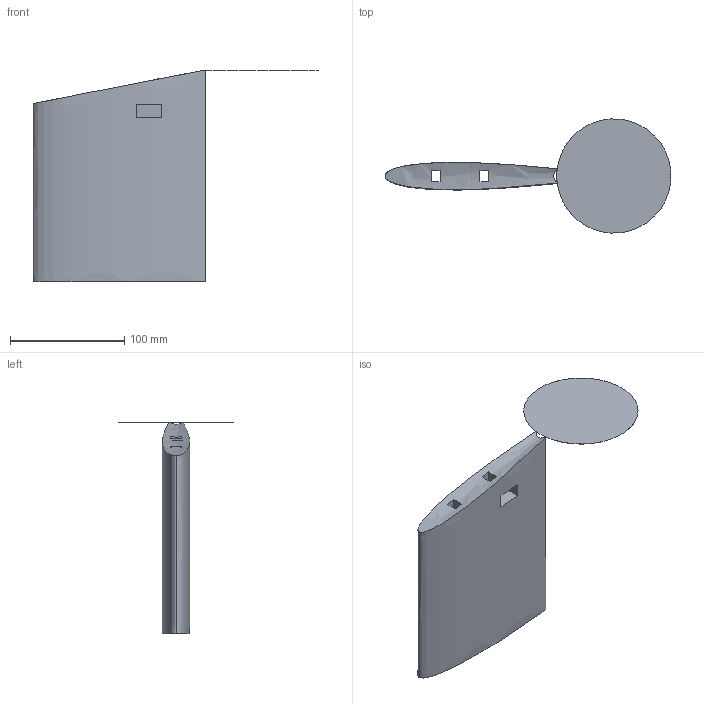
import math

import cadquery as cq

CHORD = 200.0
THICKNESS_RATIO = 0.12
BLADE_LENGTH = 150.6
FOIL_POINTS = 24

NOSE_HEIGHT = 155.9
TOP_HEIGHT = 185.15

TIP_ANGLE = 11.1
TIP_SAG = 1.6
MAX_THICKNESS_X = 0.3 * CHORD
MAX_HALF_THICKNESS = THICKNESS_RATIO * CHORD / 2
TIP_STATIONS = (-1.0, 8.0, 25.0, MAX_THICKNESS_X, 90.0, 120.0, BLADE_LENGTH + 1.0)
CUTTER_MARGIN = 1.0
CUTTER_HEADROOM = 15.0

GROOVE_RADIUS = 6.0
GROOVE_DEPTH = 3.3

DISC_DIAMETER = 100.0
DISC_THICKNESS = 0.1
DISC_CENTRE_X = 200.03

SLOT_LENGTH = 7.7
SLOT_WIDTH = 10.0
SLOT_CENTRES_X = (44.15, 86.75)

WINDOW_X = 90.0
WINDOW_Z = 143.3
WINDOW_LENGTH = 22.0
WINDOW_HEIGHT = 12.0
WINDOW_FLOOR_Y = SLOT_WIDTH / 2


def foil_half_thickness(x):
    s = x / CHORD
    shape = 0.2969 * math.sqrt(s) - 0.1260 * s - 0.3516 * s**2 + 0.2843 * s**3 - 0.1015 * s**4
    return 5 * THICKNESS_RATIO * CHORD * shape


def arc_radius(half_chord, sag):
    return (half_chord**2 + sag**2) / (2 * sag)


def make_blade():
    xs = [BLADE_LENGTH * (i / FOIL_POINTS) ** 2 for i in range(FOIL_POINTS + 1)]
    left_side = [(x, foil_half_thickness(x)) for x in xs]
    right_side = [(x, -y) for x, y in reversed(left_side)]
    return (
        cq.Workplane("XY")
        .spline(left_side)
        .lineTo(*right_side[0])
        .spline(right_side[1:], includeCurrent=True)
        .close()
        .extrude(TOP_HEIGHT)
    )


def tip_section(x):
    """Tip cutter outline at x: a hollow arc through both blade edges, with straight walls above it."""
    half_width = foil_half_thickness(max(x, 0))
    if x < MAX_THICKNESS_X:
        radius = arc_radius(MAX_HALF_THICKNESS, TIP_SAG)
    else:
        radius = arc_radius(half_width, TIP_SAG)
    edge = NOSE_HEIGHT + x * math.tan(math.radians(TIP_ANGLE))
    arc_centre = edge + math.sqrt(radius**2 - half_width**2)
    reach = half_width + CUTTER_MARGIN
    rim = arc_centre - math.sqrt(radius**2 - reach**2)
    ceiling = TOP_HEIGHT + CUTTER_HEADROOM
    return (
        cq.Workplane("YZ", origin=(x, 0, 0))
        .moveTo(-reach, rim)
        .threePointArc((0, arc_centre - radius), (reach, rim))
        .lineTo(reach, ceiling)
        .lineTo(-reach, ceiling)
        .close()
        .val()
    )


def make_tip_cutter():
    return cq.Workplane(cq.Solid.makeLoft([tip_section(x) for x in TIP_STATIONS]))


def make_groove():
    centre_x = BLADE_LENGTH - GROOVE_DEPTH + GROOVE_RADIUS
    return cq.Workplane("XY").center(centre_x, 0).circle(GROOVE_RADIUS).extrude(TOP_HEIGHT)


def make_slots():
    return (
        cq.Workplane("XY")
        .pushPoints([(x, 0) for x in SLOT_CENTRES_X])
        .rect(SLOT_LENGTH, SLOT_WIDTH)
        .extrude(TOP_HEIGHT)
    )


def make_window():
    depth = WINDOW_FLOOR_Y + MAX_HALF_THICKNESS + CUTTER_MARGIN
    return (
        cq.Workplane("XY", origin=(WINDOW_X, WINDOW_FLOOR_Y - depth, WINDOW_Z))
        .box(WINDOW_LENGTH, depth, WINDOW_HEIGHT, centered=False)
    )


def make_disc():
    return (
        cq.Workplane("XY", origin=(DISC_CENTRE_X, 0, TOP_HEIGHT - DISC_THICKNESS))
        .circle(DISC_DIAMETER / 2)
        .extrude(DISC_THICKNESS)
    )


blade = make_blade().cut(make_tip_cutter())
blade = blade.cut(make_groove()).cut(make_slots()).cut(make_window())
result = blade.union(make_disc())